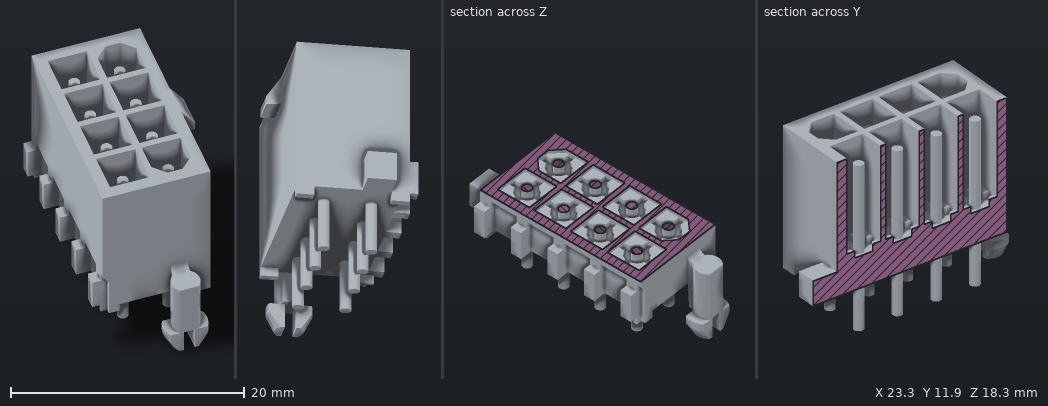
import cadquery as cq
import math

columns = 4
rows = 2
pitch = 4.15

housing_length = 18.17
housing_width = 9.85
housing_height = 13.47
left = -housing_length / 2
right = housing_length / 2
front = -housing_width / 2
back = housing_width / 2
front_row_y = -pitch / 2
back_row_y = pitch / 2

well_size = 3.55
well_floor_z = 3.95
well_corner_cut = 1.1
floor_recess_radius = 1.2
floor_recess_depth = 0.7
floor_channel_width = 0.7

pin_diameter = 1.0
pin_top_z = 12.03
pin_bottom_z = -4.5

rib_width = 1.16
rib_depth = 0.77
rib_height = 2.98
recess_width = pitch - rib_width
recess_depth = 0.58
recess_top_z = 3.85

foot_length = 0.8
foot_width = 1.54
foot_height = 0.8
block_size = 2.54

latch_width = 2.98
latch_reach = 1.28
latch_tip_top_drop = 1.82
latch_tip_bottom_drop = 2.58
latch_root_bottom_drop = 2.47

peg_reach = 2.55
peg_thickness = 1.9
peg_radius = 1.28
peg_top_z = block_size
peg_bottom_z = -4.85
peg_right = right + peg_reach
peg_left = peg_right - peg_thickness
peg_x = peg_right - peg_thickness / 2
barb_radius = 2.0
barb_offset = 0.15
barb_x = peg_x - barb_offset
barb_top_z = -2.68
barb_rim_height = 0.8
peg_slot_width = 1.0

neck_width = 1.54
neck_fillet = peg_left - right
neck_draft = 0.12


def box(x_min, x_max, y_min, y_max, z_min, z_max):
    """Solid box between the given limits."""
    size = (x_max - x_min, y_max - y_min, z_max - z_min)
    return cq.Workplane("XY").box(*size, centered=False).translate((x_min, y_min, z_min))


def centred_box(x, y, length, width, z_min, z_max):
    """Solid box centred on (x, y)."""
    return box(x - length / 2, x + length / 2, y - width / 2, y + width / 2, z_min, z_max)


def cylinder(x, y, radius, z_min, z_max):
    """Upright solid cylinder."""
    return cq.Workplane("XY", origin=(x, y, z_min)).circle(radius).extrude(z_max - z_min)


def grid_places():
    """(column, row, x, y) of every contact; row 0 is the front row."""
    return [
        (column, row, (column - (columns - 1) / 2) * pitch, (row - (rows - 1) / 2) * pitch)
        for column in range(columns)
        for row in range(rows)
    ]


def make_well(column, row, x, y):
    """Space of one well; the two end wells of the back row have cut outer corners."""
    well = centred_box(x, y, well_size, well_size, well_floor_z, housing_height)
    if row == rows - 1 and column == 0:
        well = well.edges("|Z and <X").chamfer(well_corner_cut)
    elif row == rows - 1 and column == columns - 1:
        well = well.edges("|Z and >X").chamfer(well_corner_cut)

    recess_z = well_floor_z - floor_recess_depth
    return (
        well.union(cylinder(x, y, floor_recess_radius, recess_z, well_floor_z))
        .union(centred_box(x, y, well_size, floor_channel_width, recess_z, well_floor_z))
        .union(centred_box(x, y, floor_channel_width, well_size, recess_z, well_floor_z))
    )


def make_pin(x, y):
    """One straight contact pin."""
    return cylinder(x, y, pin_diameter / 2, pin_bottom_z, pin_top_z)


def make_feet():
    """Four feet, one under each corner of the housing."""
    feet = cq.Workplane("XY")
    for x_min in (left, right - foot_length):
        for y_min in (front, back - foot_width):
            feet = feet.add(box(x_min, x_min + foot_length, y_min, y_min + foot_width, -foot_height, 0))
    return feet.combine()


def make_front_recess(x_min):
    """Recess right of a rib, with a sloped top, cut down through the underside."""
    profile = [
        (front, recess_top_z),
        (front + recess_depth, rib_height),
        (front + recess_depth, -foot_height),
        (front, -foot_height),
    ]
    return cq.Workplane("YZ", origin=(x_min, 0, 0)).polyline(profile).close().extrude(recess_width)


def make_latch():
    """Ramp on the back wall with a slightly hooked underside."""
    tip_y = back + latch_reach
    profile = [
        (back, housing_height),
        (tip_y, housing_height - latch_tip_top_drop),
        (tip_y, housing_height - latch_tip_bottom_drop),
        (back, housing_height - latch_root_bottom_drop),
    ]
    return cq.Workplane("YZ").polyline(profile).close().extrude(latch_width / 2, both=True)


def make_neck():
    """Web from the right end wall to the middle of the peg, with a hollow fillet above it."""
    fillet_sag = neck_fillet * (1 - math.sqrt(0.5))
    web = (
        cq.Workplane("XZ", origin=(0, back_row_y, 0))
        .moveTo(right, peg_top_z + neck_fillet)
        .threePointArc((right + fillet_sag, peg_top_z + fillet_sag), (right + neck_fillet, peg_top_z))
        .lineTo(peg_x, peg_top_z)
        .lineTo(peg_x, barb_top_z)
        .lineTo(right + neck_draft, barb_top_z)
        .lineTo(right, -foot_height)
        .close()
    )
    return web.extrude(neck_width / 2, both=True)


def make_peg():
    """Round peg with a tapered barb, flattened on both X sides and split at the bottom."""
    taper_top_z = barb_top_z - barb_rim_height
    shank = cylinder(peg_x, back_row_y, peg_radius, peg_bottom_z, peg_top_z)
    rim = cylinder(barb_x, back_row_y, barb_radius, taper_top_z, barb_top_z)
    taper = (
        cq.Workplane("XY", origin=(peg_x, back_row_y, peg_bottom_z))
        .circle(peg_radius)
        .workplane(offset=taper_top_z - peg_bottom_z)
        .center(barb_x - peg_x, 0)
        .circle(barb_radius)
        .loft(ruled=True)
    )
    flats = centred_box(peg_x, back_row_y, peg_thickness, 2 * barb_radius, peg_bottom_z, peg_top_z)
    slot = centred_box(peg_x, back_row_y, peg_thickness, peg_slot_width, peg_bottom_z, barb_top_z)
    return shank.union(rim).union(taper).intersect(flats).cut(slot)


def make_housing():
    """Housing with its feet, block, ribs, latch and snap peg."""
    body = box(left, right, front, back, 0, housing_height)
    body = body.union(make_feet())

    for index in range(columns + 1):
        rib_left = left + index * pitch
        rib_right = rib_left + rib_width
        body = body.union(box(rib_left, rib_right, front - rib_depth, front, 0, rib_height))
        body = body.cut(make_front_recess(rib_right))

    block_front = front_row_y - block_size / 2
    body = body.union(box(left - block_size, left, block_front, block_front + block_size, 0, block_size))
    body = body.union(make_latch()).union(make_neck()).union(make_peg())

    for column, row, x, y in grid_places():
        body = body.cut(make_well(column, row, x, y))
        body = body.cut(cylinder(x, y, pin_diameter / 2, 0, well_floor_z))
    return body.solids()


housing = make_housing()
pins = [make_pin(x, y) for _, _, x, y in grid_places()]

result = cq.Compound.makeCompound([housing.val(), *[pin.val() for pin in pins]])